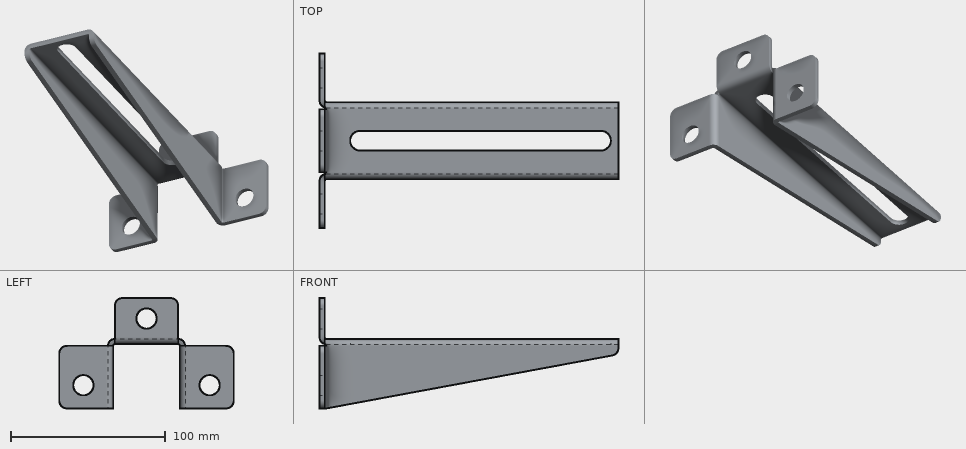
import cadquery as cq
import math

length = 193.5
overall_width = 113.0
overall_height = 71.5

sheet = 3.5
inner_bend = 1.0
outer_bend = sheet + inner_bend

channel_width = 50.0
root_depth = 45.0
tip_depth = 10.0
tip_radius = 5.0
half_width = channel_width / 2
flat_width = channel_width - 2 * outer_bend

slot_width = 12.5
slot_start = 20.0
tip_margin = 5.0
slot_end = length - tip_margin

hole_diameter = 13.0
corner_radius = 5.0
tab_reach = overall_height - root_depth
wing_reach = overall_width / 2 - half_width
tab_hole_inset = 13.4
wing_hole_inset = 15.7
wing_hole_height = 15.0


def bent_flange(plane, reach, breadth):
    """Bend and flat flange, turned outward by reach from the sheet's outer face."""
    outer_inset = outer_bend * (1 - math.sqrt(0.5))
    inner_inset = inner_bend * (1 - math.sqrt(0.5))
    return (
        plane.moveTo(outer_bend, -sheet)
        .threePointArc((outer_inset, outer_inset - sheet), (0, inner_bend))
        .lineTo(0, reach)
        .lineTo(sheet, reach)
        .lineTo(sheet, inner_bend)
        .threePointArc((sheet + inner_inset, inner_inset), (outer_bend, 0))
        .close()
        .extrude(breadth)
    )


def hole_through_flange(y, z):
    """Cutter for a bolt hole along X at the given Y and Z."""
    return cq.Workplane("YZ").center(y, z).circle(hole_diameter / 2).extrude(sheet)


def top_plate():
    """Flat strip between the two long bends, with the lengthwise slot."""
    plate = (
        cq.Workplane("XY")
        .box(length - outer_bend, flat_width, sheet, centered=(False, True, False))
        .translate((outer_bend, 0, -sheet))
    )
    slot = (
        cq.Workplane("XY", origin=((slot_start + slot_end) / 2, 0, -sheet))
        .slot2D(slot_end - slot_start, slot_width)
        .extrude(sheet)
    )
    return plate.cut(slot)


def top_tab():
    """Mounting flange turned upward from the root of the top plate."""
    tab = bent_flange(cq.Workplane("XZ", origin=(0, flat_width / 2, 0)), tab_reach, flat_width)
    tab = tab.faces(">Z").edges("|X").fillet(corner_radius)
    return tab.cut(hole_through_flange(0, tab_reach - tab_hole_inset))


def long_bend():
    """Quarter-round bend joining the top plate to the +Y wall."""
    bend_axis = cq.Workplane("YZ", origin=(sheet, flat_width / 2, -outer_bend))
    tube = bend_axis.circle(outer_bend).circle(inner_bend).extrude(length - sheet)
    quadrant = bend_axis.rect(outer_bend, outer_bend, centered=False).extrude(length - sheet)
    return tube.intersect(quadrant)


def side_wall():
    """Tapered +Y wall with a rounded lower tip."""
    wall = (
        cq.Workplane("XZ", origin=(0, half_width, 0))
        .moveTo(outer_bend, -outer_bend)
        .lineTo(length, -outer_bend)
        .lineTo(length, -tip_depth)
        .lineTo(outer_bend, -root_depth)
        .close()
        .extrude(sheet)
    )
    return wall.faces(">X").edges("<Z").fillet(tip_radius)


def side_wing():
    """Mounting flange turned outward from the root of the +Y wall."""
    root = cq.Workplane("XY", origin=(0, half_width, -root_depth))
    wing = bent_flange(root, wing_reach, root_depth - outer_bend)
    wing = wing.faces(">Y").edges("|X").fillet(corner_radius)
    hole_y = overall_width / 2 - wing_hole_inset
    return wing.cut(hole_through_flange(hole_y, wing_hole_height - root_depth))


side = long_bend().union(side_wall()).union(side_wing())
result = top_plate().union(top_tab()).union(side).union(side.mirror("XZ"))